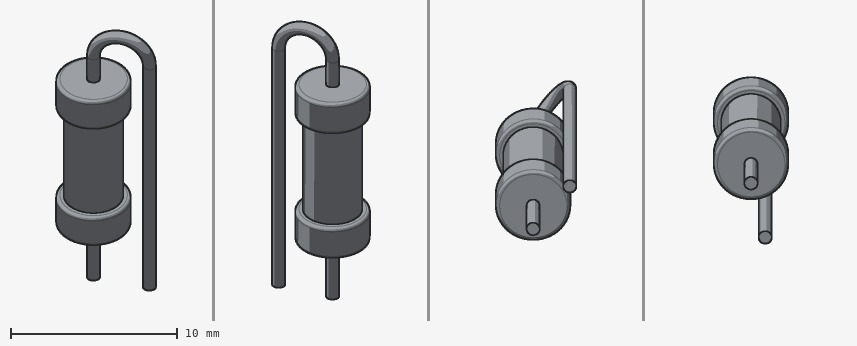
import cadquery as cq

total_height = 18.9
lead_diameter = 0.8
lead_pitch = 3.5
body_diameter = 3.6
cap_diameter = 4.5
cap_length = 2.2
cap_fillet = 0.23
body_bottom = 4.0
body_length = 11.0

lead_radius = lead_diameter / 2
bend_radius = lead_pitch / 2
bend_start = total_height - bend_radius - lead_radius
upper_cap_bottom = body_bottom + body_length - cap_length


def make_cap(bottom):
    """End cap with both rims rounded."""
    cap = cq.Workplane("XY").workplane(offset=bottom).circle(cap_diameter / 2).extrude(cap_length)
    return cap.edges().fillet(cap_fillet)


def make_lead():
    """Round wire through the body, over a half-circle bend and back to the base."""
    straight = cq.Workplane("XY").circle(lead_radius).extrude(bend_start)
    return_leg = straight.translate((lead_pitch, 0, 0))
    bend = (
        cq.Workplane("XY")
        .workplane(offset=bend_start)
        .circle(lead_radius)
        .revolve(180, (bend_radius, 0, 0), (bend_radius, 1, 0))
    )
    return straight.union(bend).union(return_leg)


body = cq.Workplane("XY").workplane(offset=body_bottom).circle(body_diameter / 2).extrude(body_length)
for cap_bottom in (body_bottom, upper_cap_bottom):
    body = body.union(make_cap(cap_bottom))

result = body.union(make_lead())